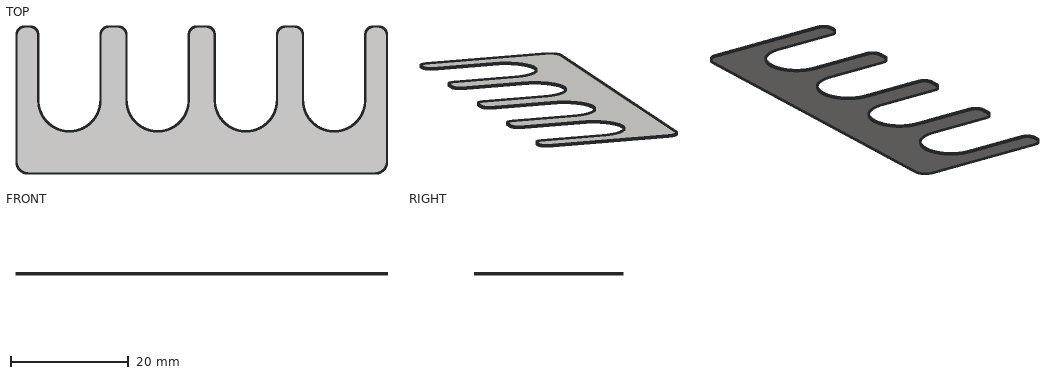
import cadquery as cq

length = 63.0
depth = 25.0
thickness = 0.25

slot_count = 4
slot_pitch = 15.0
slot_width = 10.5
slot_floor = 7.2

base_corner_radius = 2.0
tip_corner_radius = 1.5

slot_radius = slot_width / 2
slot_center_y = slot_floor + slot_radius - depth / 2


def make_slot(center_x):
    """U-shaped cutter: a round bottom with straight sides running out of the +Y edge."""
    return (
        cq.Workplane("XY")
        .moveTo(center_x - slot_radius, depth / 2)
        .lineTo(center_x - slot_radius, slot_center_y)
        .threePointArc(
            (center_x, slot_center_y - slot_radius),
            (center_x + slot_radius, slot_center_y),
        )
        .lineTo(center_x + slot_radius, depth / 2)
        .close()
        .extrude(thickness)
    )


plate = cq.Workplane("XY").box(length, depth, thickness, centered=(True, True, False))
plate = plate.faces("<Y").edges("|Z").fillet(base_corner_radius)

for index in range(slot_count):
    plate = plate.cut(make_slot((index - (slot_count - 1) / 2) * slot_pitch))

result = plate.faces(">Y").edges("|Z").fillet(tip_corner_radius)